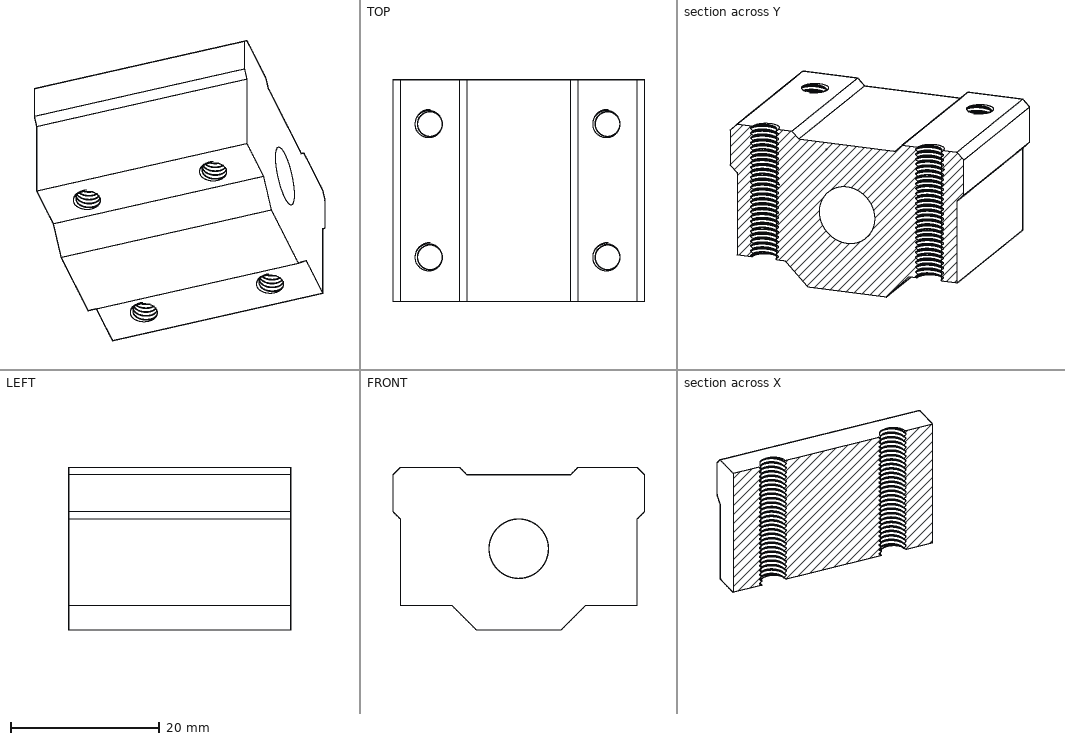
import cadquery as cq

width = 34.0
length = 30.0
height = 22.0

edge_chamfer = 1.0
flange_overhang = 1.0
flange_straight_bottom = 16.0

channel_floor_width = 14.0
channel_depth = 1.0

keel_depth = 3.3
keel_bottom_width = 11.4

bore_diameter = 8.0
bore_height = 11.0

hole_spacing_x = 24.0
hole_spacing_y = 18.0
thread_minor_diameter = 3.32
thread_major_diameter = 4.0
thread_pitch = 0.7
groove_mouth = thread_pitch * 7 / 8
groove_root = thread_pitch / 8
groove_overlap = 0.02
top_groove_angle = 180.0
tap_overrun = 4 * thread_pitch


def make_block():
    half_width = width / 2
    half_body = half_width - flange_overhang
    half_channel = channel_floor_width / 2
    half_keel = keel_bottom_width / 2
    right_half = [
        (half_keel, 0),
        (half_keel + keel_depth, keel_depth),
        (half_body, keel_depth),
        (half_body, flange_straight_bottom - flange_overhang),
        (half_width, flange_straight_bottom),
        (half_width, height - edge_chamfer),
        (half_width - edge_chamfer, height),
        (half_channel + channel_depth, height),
        (half_channel, height - channel_depth),
    ]
    left_half = [(-x, z) for x, z in reversed(right_half)]
    profile = cq.Workplane("XZ").polyline(right_half + left_half).close()
    return profile.extrude(length / 2, both=True)


def make_bore():
    profile = cq.Workplane("XZ").center(0, bore_height).circle(bore_diameter / 2)
    return profile.extrude(length / 2, both=True)


def make_thread_groove():
    """Right-handed helical V groove on the Z axis, running past both ends of a hole."""
    minor_radius = thread_minor_diameter / 2
    major_radius = thread_major_diameter / 2
    start = keel_depth - thread_pitch
    climb = height - start + thread_pitch
    taper = (groove_mouth - groove_root) / (major_radius - minor_radius)
    inner_radius = minor_radius - groove_overlap
    inner_half = (groove_mouth + taper * groove_overlap) / 2
    root_half = groove_root / 2

    helix = cq.Wire.makeHelix(thread_pitch, climb, minor_radius)
    section = cq.Workplane("XZ").polyline([
        (inner_radius, -inner_half),
        (major_radius, -root_half),
        (major_radius, root_half),
        (inner_radius, inner_half),
    ]).close()
    groove = section.sweep(cq.Workplane(obj=helix), isFrenet=True)

    turns_to_top = (height - start) / thread_pitch
    spin = top_groove_angle - 360.0 * turns_to_top
    return groove.rotate((0, 0, 0), (0, 0, 1), spin).translate((0, 0, start))


def make_tap():
    """Threaded rod with the shape of one hole, reaching beyond the block at both ends."""
    bottom = keel_depth - tap_overrun
    core = cq.Workplane("XY", origin=(0, 0, bottom)).circle(thread_minor_diameter / 2)
    core = core.extrude(height + tap_overrun - bottom)
    return core.union(make_thread_groove(), clean=False)


def cut_threaded_holes(block):
    tap = make_tap()
    for x in (-hole_spacing_x / 2, hole_spacing_x / 2):
        for y in (-hole_spacing_y / 2, hole_spacing_y / 2):
            block = block.cut(tap.translate((x, y, 0)), clean=False)
    return block.solids()


result = cut_threaded_holes(make_block().cut(make_bore()))